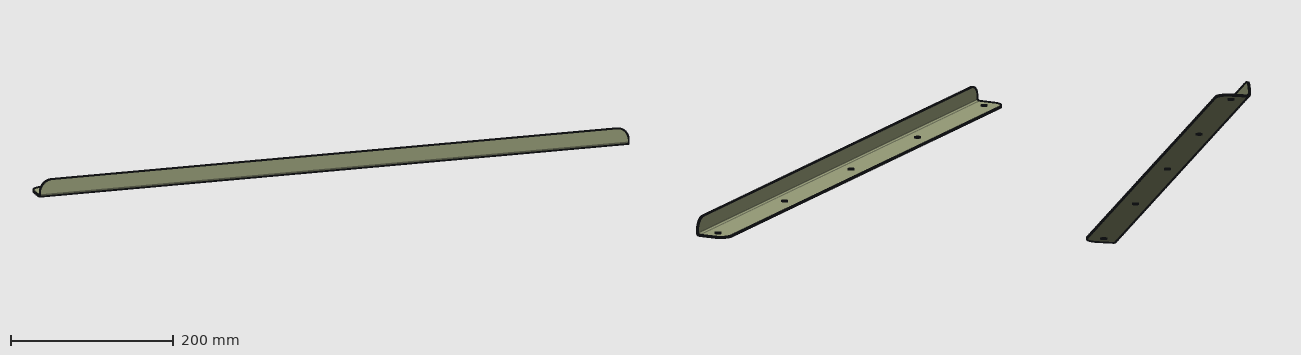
import cadquery as cq

length = 761.0
width = 40.0
height = 22.0

thickness = 2.0
bend_inner_radius = 2.0
bend_outer_radius = bend_inner_radius + thickness

corner_radius = 15.0

hole_diameter = 7.0
hole_count = 5
hole_pitch = 181.0
hole_x = width / 2


def bent_strip():
    """L-shaped sheet profile, with a rounded bend, extruded along Y."""
    profile = (
        cq.Workplane("XZ")
        .polyline([(0, thickness), (0, 0), (width, 0), (width, height),
                   (width - thickness, height), (width - thickness, thickness)])
        .close()
        .extrude(length / 2, both=True)
    )
    inner_edge = cq.selectors.NearestToPointSelector((width - thickness, 0, thickness))
    outer_edge = cq.selectors.NearestToPointSelector((width, 0, 0))
    bent = profile.edges(inner_edge).fillet(bend_inner_radius)
    return bent.edges(outer_edge).fillet(bend_outer_radius)


def round_free_corners(strip):
    """Round the two end corners on the free edge of each flange."""
    return (
        strip.edges("|Z and <X").fillet(corner_radius)
        .edges("|X and >Z").fillet(corner_radius)
    )


def mounting_holes():
    """Through-hole cutters in the base flange, centred along its length."""
    return (
        cq.Workplane("XY")
        .center(hole_x, 0)
        .rarray(7.5, hole_pitch, 1, hole_count)
        .circle(hole_diameter / 2)
        .extrude(thickness)
    )


result = round_free_corners(bent_strip()).cut(mounting_holes())